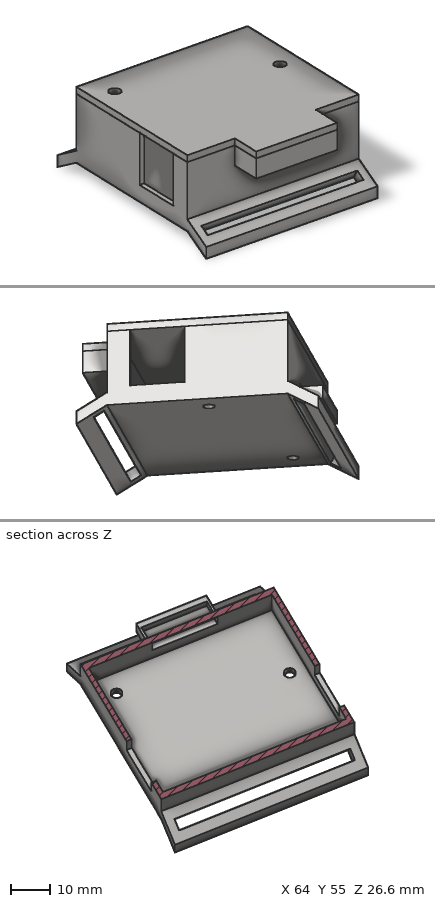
import cadquery as cq
import math


box_width = 47.0
box_depth = 55.0
box_height = 20.0
side_wall = 2.0
end_wall = 1.5
floor = 2.0

lid_thickness = 2.0

wing_reach = 8.0
wing_angle = 30.0
wing_thickness = 3.0
strap_slot_length = box_depth - 5.0
strap_slot_width = 3.1

window_left = 26.8
window_width = 14.25
window_sill = 4.9

tray_reach = 6.0
tray_depth = 20.0
tray_height = 3.5
tray_bottom = 4.0
tray_center_y = 28.75
tray_floor = 1.5
tray_side_wall = 0.7
tray_end_wall = 1.7
tray_slot_height = 3.0

block_reach = 9.0
block_depth = 26.0
block_height = 5.85
block_center_y = 28.25

lid_hole_diameter = 3.4
floor_hole_diameter = 3.0
screw_hole_places = [(7.9, 6.4), (21.6, 49.0)]


def box_at(x, y, z, width, depth, height):
    """Box with its lowest corner at (x, y, z)."""
    return cq.Workplane("XY").box(width, depth, height, centered=False).translate((x, y, z))


def make_left_wing():
    """Wing sloping down from the left edge, with a long slot square to its faces."""
    slope = math.tan(math.radians(wing_angle))
    edge_height = wing_thickness / math.cos(math.radians(wing_angle))
    drop = wing_reach * slope
    profile = [(0, 0), (0, edge_height), (-wing_reach, edge_height - drop), (-wing_reach, -drop)]
    wing = cq.Workplane("XZ").polyline(profile).close().extrude(-box_depth)

    slot_x = -wing_reach / 2
    slot_cutter = (
        cq.Workplane("XY")
        .box(strap_slot_width, strap_slot_length, 2 * wing_thickness)
        .rotate((0, 0, 0), (0, 1, 0), -wing_angle)
        .translate((slot_x, box_depth / 2, edge_height + slot_x * slope))
    )
    return wing.cut(slot_cutter)


def make_tray():
    """Solid outer shape of the tray."""
    return box_at(
        -tray_reach, tray_center_y - tray_depth / 2, tray_bottom, tray_reach, tray_depth, tray_height
    )


def make_tray_pocket():
    """Tray pocket, carried on through the left wall into the box."""
    length = tray_reach - tray_end_wall + side_wall
    depth = tray_depth - 2 * tray_side_wall
    return box_at(
        tray_end_wall - tray_reach,
        tray_center_y - depth / 2,
        tray_bottom + tray_floor,
        length,
        depth,
        tray_slot_height,
    )


def make_right_tab(bottom, height):
    """Rectangular tab reaching out from the right side of the box."""
    return box_at(box_width, block_center_y - block_depth / 2, bottom, block_reach, block_depth, height)


def make_screw_holes(diameter, height):
    """Cutters for the screw holes, rising from the bottom of the box."""
    return (
        cq.Workplane("XY")
        .pushPoints(screw_hole_places)
        .circle(diameter / 2)
        .extrude(height)
    )


def make_housing():
    left_wing = make_left_wing()
    right_wing = left_wing.mirror("YZ").translate((box_width, 0, 0))
    cavity = box_at(
        side_wall,
        end_wall,
        floor,
        box_width - 2 * side_wall,
        box_depth - 2 * end_wall,
        box_height - floor,
    )
    window = box_at(
        window_left, 0, window_sill, window_width, box_depth, box_height - window_sill
    )
    return (
        box_at(0, 0, 0, box_width, box_depth, box_height)
        .union(left_wing)
        .union(right_wing)
        .union(make_tray())
        .union(make_right_tab(box_height - block_height, block_height))
        .cut(cavity)
        .cut(window)
        .cut(make_tray_pocket())
        .cut(make_screw_holes(floor_hole_diameter, floor))
    )


def make_lid():
    return (
        box_at(0, 0, box_height, box_width, box_depth, lid_thickness)
        .union(make_right_tab(box_height, lid_thickness))
        .cut(make_screw_holes(lid_hole_diameter, box_height + lid_thickness))
    )


housing = make_housing()
lid = make_lid()
result = cq.Compound.makeCompound([housing.val(), lid.val()])